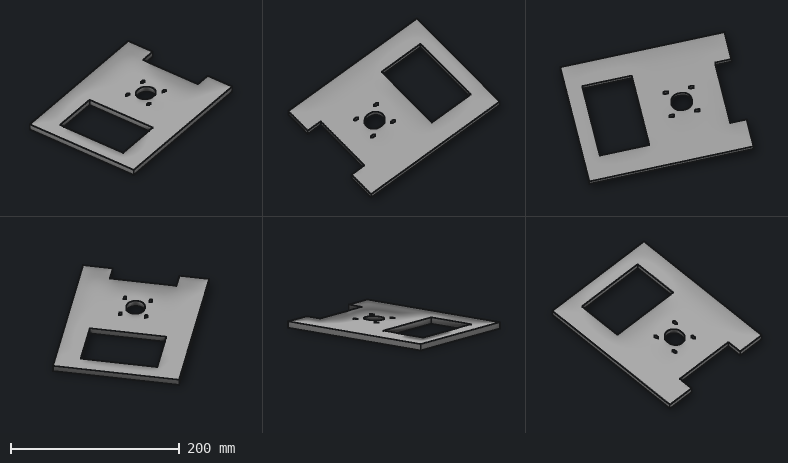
import cadquery as cq

plate_width = 152.0
plate_length = 200.0
plate_thickness = 8.0

notch_width = 80.0
notch_depth = 20.0

window_width = 92.0
window_length = 60.0
window_edge_margin = 20.0

motor_center_y = 30.0
adjustment_travel = 3.0
pilot_diameter = 22.0
screw_diameter = 3.0
screw_spacing = 31.0


def rectangular_block(width, length, center_y):
    """Block through the full plate thickness, centred on X = 0."""
    return (
        cq.Workplane("XY")
        .center(0, center_y)
        .rect(width, length)
        .extrude(plate_thickness)
    )


def slot_prisms(diameter, centers):
    """Round-ended slots along Y through the full plate thickness."""
    return (
        cq.Workplane("XY")
        .pushPoints(centers)
        .slot2D(diameter + adjustment_travel, diameter, 90)
        .extrude(plate_thickness)
    )


plate = rectangular_block(plate_width, plate_length, 0)

notch_center_y = plate_length / 2 - notch_depth / 2
notch = rectangular_block(notch_width, notch_depth, notch_center_y)

window_center_y = -plate_length / 2 + window_edge_margin + window_length / 2
window = rectangular_block(window_width, window_length, window_center_y)

pilot_opening = slot_prisms(pilot_diameter, [(0, motor_center_y)])

screw_centers = [
    (side_x * screw_spacing / 2, motor_center_y + side_y * screw_spacing / 2)
    for side_x in (-1, 1)
    for side_y in (-1, 1)
]
screw_slots = slot_prisms(screw_diameter, screw_centers)

result = plate.cut(notch).cut(window).cut(pilot_opening).cut(screw_slots)